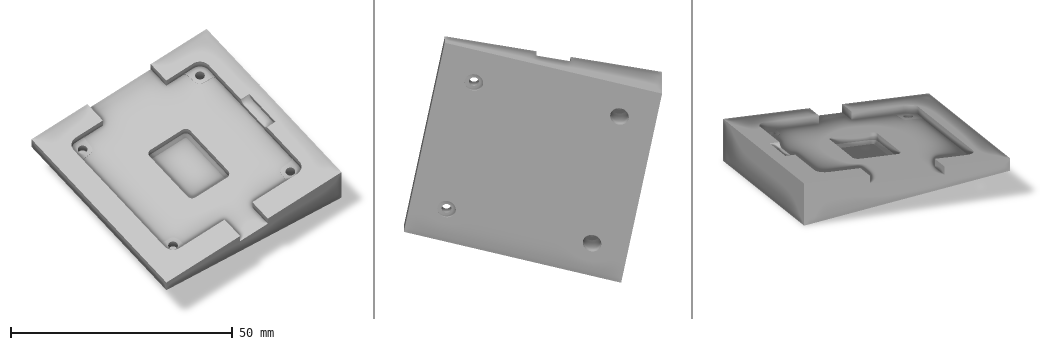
import cadquery as cq

SIDE = 50.0
BACK_HEIGHT = 10.0
FRONT_HEIGHT = 3.0

TRAY_SIDE = 38.5
TRAY_DEPTH = 2.0
TRAY_CORNER_RADIUS = 2.5
TRAY_FLOOR = BACK_HEIGHT - TRAY_DEPTH

LEFT_OPENING = 18.1
RIGHT_OPENING = 7.9

HOLE_SPACING = 33.5
HOLE_DIAMETER = 2.2
HEAD_DIAMETER = 4.2
HEAD_COVER = 1.8
HEAD_SEAT = TRAY_FLOOR - HEAD_COVER
PAD_HEIGHT = 0.1
PAD_REACH = 4.5
PAD_ROUND = 1.5
PAD_TAPER = 0.25
PAD_FLARE = 0.5

WELL_LENGTH = 16.6
WELL_WIDTH = 11.6
WELL_CENTER = (0.95, -0.05)
WELL_DEPTH = 2.5
WELL_CORNER_RADIUS = 1.3
WELL_CHAMFER = 0.75

NOTCH_LENGTH = 9.7
NOTCH_REACH = 2.4
NOTCH_DEPTH = 1.0
NOTCH_END = 1.5
NOTCH_RADIUS = (NOTCH_END**2 + NOTCH_DEPTH**2) / (2 * NOTCH_DEPTH)


def block(x_min, x_max, y_min, y_max, z_min, z_max):
    size = (x_max - x_min, y_max - y_min, z_max - z_min)
    return cq.Workplane().box(*size, centered=False).translate((x_min, y_min, z_min))


def wedge():
    half = SIDE / 2
    profile = [
        (-half, BACK_HEIGHT - FRONT_HEIGHT),
        (half, 0),
        (half, BACK_HEIGHT),
        (-half, BACK_HEIGHT),
    ]
    return cq.Workplane("YZ").polyline(profile).close().extrude(half, both=True)


def tray():
    cavity = cq.Workplane().rect(TRAY_SIDE, TRAY_SIDE).extrude(TRAY_DEPTH)
    return cavity.edges("|Z").fillet(TRAY_CORNER_RADIUS).translate((0, 0, TRAY_FLOOR))


def side_openings():
    half = SIDE / 2
    left = block(-half, 0, -LEFT_OPENING / 2, LEFT_OPENING / 2, TRAY_FLOOR, BACK_HEIGHT)
    right = block(0, half, -RIGHT_OPENING / 2, RIGHT_OPENING / 2, TRAY_FLOOR, BACK_HEIGHT)
    return left.union(right)


def corner_pads():
    """One flared pad in the +X +Y corner, mirrored into all four corners."""
    wall = TRAY_SIDE / 2
    edge = wall - PAD_REACH
    root = edge - PAD_TAPER
    flared = root - PAD_FLARE
    bend = edge + PAD_ROUND
    pad = (
        cq.Workplane()
        .moveTo(wall, wall)
        .lineTo(flared, wall)
        .radiusArc((root, wall - PAD_FLARE), PAD_FLARE)
        .lineTo(edge, bend)
        .radiusArc((bend, edge), -PAD_ROUND)
        .lineTo(wall - PAD_FLARE, root)
        .radiusArc((wall, flared), PAD_FLARE)
        .close()
        .extrude(PAD_HEIGHT)
        .translate((0, 0, TRAY_FLOOR))
    )
    pair = pad.union(pad.mirror("YZ"))
    return pair.union(pair.mirror("XZ"))


def screw_holes():
    centers = cq.Workplane().rect(HOLE_SPACING, HOLE_SPACING, forConstruction=True).vertices()
    shafts = centers.circle(HOLE_DIAMETER / 2).extrude(BACK_HEIGHT)
    heads = centers.circle(HEAD_DIAMETER / 2).extrude(HEAD_SEAT)
    return shafts.union(heads)


def well():
    cavity = cq.Workplane().rect(WELL_LENGTH, WELL_WIDTH).extrude(WELL_DEPTH)
    cavity = cavity.edges("|Z").fillet(WELL_CORNER_RADIUS)
    cavity = cavity.faces("<Z").edges().chamfer(WELL_CHAMFER)
    return cavity.translate((*WELL_CENTER, TRAY_FLOOR - WELL_DEPTH))


def back_notch():
    half = NOTCH_LENGTH / 2
    wall = TRAY_SIDE / 2
    floor = BACK_HEIGHT - NOTCH_DEPTH
    return (
        cq.Workplane("XZ", origin=(0, wall, 0))
        .moveTo(-half, BACK_HEIGHT)
        .radiusArc((-half + NOTCH_END, floor), -NOTCH_RADIUS)
        .lineTo(half - NOTCH_END, floor)
        .radiusArc((half, BACK_HEIGHT), -NOTCH_RADIUS)
        .close()
        .extrude(-NOTCH_REACH)
    )


result = (
    wedge()
    .cut(tray())
    .cut(side_openings())
    .cut(back_notch())
    .cut(well())
    .union(corner_pads().intersect(tray()))
    .cut(screw_holes())
)